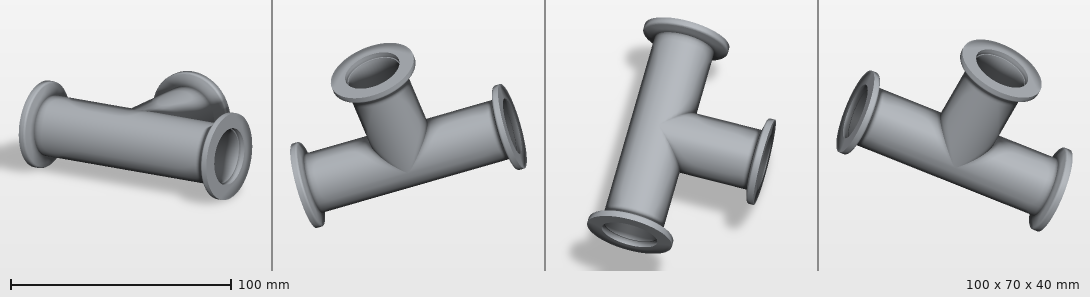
import cadquery as cq

run_length = 100.0
branch_reach = 50.0

tube_diameter = 28.0
tube_bore = 25.0

flange_diameter = 40.0
recess_diameter = 26.2
flange_length = 4.6
cone_start = 3.0
rim_fillet = 1.0
recess_depth = 2.6
socket_depth = 3.4

tolerance = 0.001

tube_radius = tube_diameter / 2
flange_radius = flange_diameter / 2
half_run = run_length / 2

X_AXIS = cq.Vector(1, 0, 0)
Y_AXIS = cq.Vector(0, 1, 0)
ports = [
    (-X_AXIS, half_run),
    (X_AXIS, half_run),
    (Y_AXIS, branch_reach),
]


def make_rod(diameter, length, direction):
    """Solid cylinder from the origin along the given direction."""
    plane = cq.Plane(origin=(0, 0, 0), xDir=(0, 0, 1), normal=direction.toTuple())
    return cq.Workplane(plane).circle(diameter / 2).extrude(length)


def make_tee_rods(diameter):
    """Run and branch cylinders joined, ending where the tube seats in the flanges."""
    tube_half_run = half_run - socket_depth
    run = make_rod(diameter, tube_half_run, X_AXIS).union(make_rod(diameter, tube_half_run, -X_AXIS))
    return run.union(make_rod(diameter, branch_reach - socket_depth, Y_AXIS))


def make_tee_tube():
    """Hollow tee with equal run and branch."""
    return make_tee_rods(tube_diameter).cut(make_tee_rods(tube_bore))


def make_flange(direction, reach):
    """Flange with a conical back, a rounded rim, a front recess, a bore and a tube socket."""
    profile_plane = cq.Plane(
        origin=(direction * reach).toTuple(),
        xDir=(0, 0, 1),
        normal=cq.Vector(0, 0, 1).cross(-direction).toTuple(),
    )
    blank = (
        cq.Workplane(profile_plane)
        .lineTo(flange_radius, 0)
        .lineTo(flange_radius, cone_start)
        .lineTo(tube_radius, flange_length)
        .lineTo(0, flange_length)
        .close()
        .revolve(360, (0, 0, 0), (0, 1, 0))
    )
    rim_circles = [
        edge
        for edge in blank.edges("%CIRCLE").vals()
        if abs(edge.radius() - flange_radius) < tolerance
        and abs(edge.arcCenter().dot(direction) - (reach - cone_start)) < tolerance
    ]
    rounded = blank.newObject(rim_circles).fillet(rim_fillet)
    bore = make_rod(tube_bore, reach, direction)
    recess = make_rod(recess_diameter, recess_depth, -direction).translate(direction * reach)
    socket = make_rod(tube_diameter, reach - socket_depth, direction)
    return rounded.cut(bore).cut(recess).cut(socket)


tee_tube = make_tee_tube()
flanges = [make_flange(direction, reach) for direction, reach in ports]

result = cq.Compound.makeCompound([tee_tube.val(), *[flange.val() for flange in flanges]])